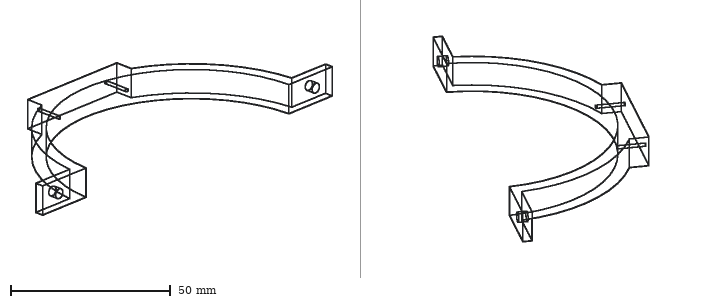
import cadquery as cq
import math

span = 130.0
height = 10.0
depth = 50.5

inner_radius = 45.5
outer_radius = 50.0

pad_width = 40.0
pad_face_x = -52.1
pad_hole_diameter = 1.0
pad_hole_spacing = 30.0

flange_thickness = 3.0
flange_hole_diameter = 3.2
flange_hole_spacing = 115.0

back_x = pad_face_x + depth
flange_face_x = back_x - flange_thickness


def circle_offset(radius, distance):
    """Half chord of a circle at a given distance from its centre."""
    return math.sqrt(radius**2 - distance**2)


def make_band():
    """Ring segment and both end flanges as one extruded outline."""
    outer_end_y = circle_offset(outer_radius, flange_face_x)
    inner_end_y = circle_offset(inner_radius, back_x)
    return (
        cq.Workplane("XY")
        .moveTo(back_x, inner_end_y)
        .lineTo(back_x, span / 2)
        .lineTo(flange_face_x, span / 2)
        .lineTo(flange_face_x, outer_end_y)
        .threePointArc((-outer_radius, 0), (flange_face_x, -outer_end_y))
        .lineTo(flange_face_x, -span / 2)
        .lineTo(back_x, -span / 2)
        .lineTo(back_x, -inner_end_y)
        .threePointArc((-inner_radius, 0), (back_x, inner_end_y))
        .close()
        .extrude(height)
    )


def make_pad():
    """Flat-faced block whose back follows the bore of the ring."""
    block = cq.Workplane("XY").box(-pad_face_x, pad_width, height, centered=(False, True, False))
    bore = cq.Workplane("XY").circle(inner_radius).extrude(height)
    return block.translate((pad_face_x, 0, 0)).cut(bore)


def make_hole_pair(start_x, length, spacing, diameter):
    """Two cylinders along +X, at mid height and symmetric about Y = 0."""
    return (
        cq.Workplane("YZ", origin=(start_x, 0, height / 2))
        .pushPoints([(-spacing / 2, 0), (spacing / 2, 0)])
        .circle(diameter / 2)
        .extrude(length)
    )


pad_holes = make_hole_pair(pad_face_x, -pad_face_x, pad_hole_spacing, pad_hole_diameter)
flange_holes = make_hole_pair(flange_face_x, flange_thickness, flange_hole_spacing, flange_hole_diameter)

result = make_band().union(make_pad()).cut(pad_holes).cut(flange_holes)